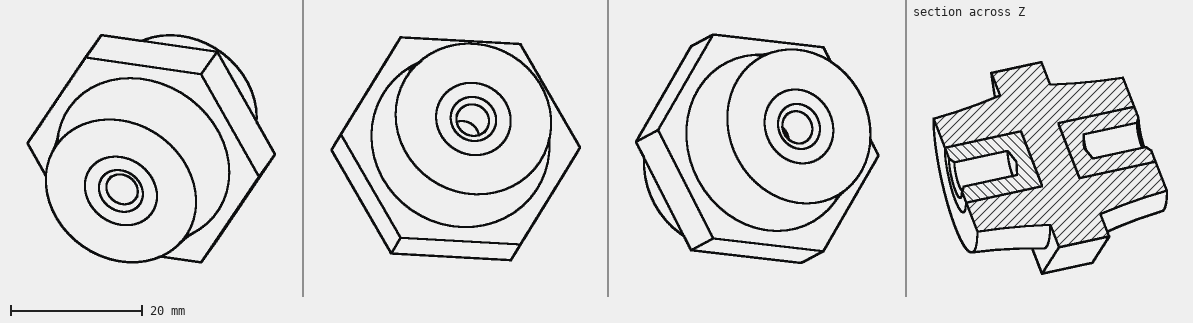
import cadquery as cq
import math


HEX_ACROSS_CORNERS = 36.95
COLLAR_WIDTH = 7.98
TOTAL_LENGTH = 30.0
BOSS_END_RADIUS = 12.0
BOSS_ROOT_RADIUS = 13.75
BOSS_HOLLOW = 0.22

INSERT_RADIUS = 5.75
INSERT_LENGTH = 12.0
BORE_RADIUS = 2.5
BORE_DEPTH = 8.98
MOUTH_RADIUS = 3.5
MOUTH_ANGLE = 120.0
DRILL_TIP_ANGLE = 150.0

HALF_LENGTH = TOTAL_LENGTH / 2
HALF_COLLAR = COLLAR_WIDTH / 2
END_SIDES = (-1, 1)


def revolve_about_y(profile):
    """Close a half profile drawn in XY and turn it about the Y axis."""
    return profile.close().revolve(360, (0, 0, 0), (0, 1, 0))


def make_collar():
    """Hexagon with two corners on the X axis, centred on the origin."""
    return (
        cq.Workplane("XZ")
        .polygon(6, HEX_ACROSS_CORNERS)
        .extrude(HALF_COLLAR, both=True)
    )


def make_boss(side):
    """Boss that flares along a hollow arc from the end face to the collar."""
    root_y = side * HALF_COLLAR
    end_y = side * HALF_LENGTH
    flank_length = math.hypot(HALF_LENGTH - HALF_COLLAR, BOSS_ROOT_RADIUS - BOSS_END_RADIUS)
    hollow_x = BOSS_HOLLOW * (HALF_LENGTH - HALF_COLLAR) / flank_length
    hollow_y = BOSS_HOLLOW * (BOSS_ROOT_RADIUS - BOSS_END_RADIUS) / flank_length
    middle = (
        (BOSS_ROOT_RADIUS + BOSS_END_RADIUS) / 2 - hollow_x,
        (root_y + end_y) / 2 - side * hollow_y,
    )
    return revolve_about_y(
        cq.Workplane("XY")
        .lineTo(0, end_y)
        .lineTo(BOSS_END_RADIUS, end_y)
        .threePointArc(middle, (BOSS_ROOT_RADIUS, root_y))
        .lineTo(BOSS_ROOT_RADIUS, 0)
    )


def make_insert_envelope(side):
    """Plain cylinder filled by an insert, flush with the end face."""
    end_y = side * HALF_LENGTH
    inner_y = side * (HALF_LENGTH - INSERT_LENGTH)
    return revolve_about_y(
        cq.Workplane("XY")
        .moveTo(0, inner_y)
        .lineTo(INSERT_RADIUS, inner_y)
        .lineTo(INSERT_RADIUS, end_y)
        .lineTo(0, end_y)
    )


def make_bore(side):
    """Countersunk blind bore with a conical drill tip."""
    tip_length = BORE_RADIUS / math.tan(math.radians(DRILL_TIP_ANGLE / 2))
    mouth_depth = (MOUTH_RADIUS - BORE_RADIUS) / math.tan(math.radians(MOUTH_ANGLE / 2))
    end_y = side * HALF_LENGTH
    mouth_y = side * (HALF_LENGTH - mouth_depth)
    floor_y = side * (HALF_LENGTH - BORE_DEPTH)
    tip_y = side * (HALF_LENGTH - BORE_DEPTH - tip_length)
    return revolve_about_y(
        cq.Workplane("XY")
        .moveTo(0, end_y)
        .lineTo(MOUTH_RADIUS, end_y)
        .lineTo(BORE_RADIUS, mouth_y)
        .lineTo(BORE_RADIUS, floor_y)
        .lineTo(0, tip_y)
    )


def make_housing():
    """Collar and both bosses in one piece, with a recess for each insert."""
    housing = make_collar()
    for side in END_SIDES:
        housing = housing.union(make_boss(side))
    for side in END_SIDES:
        housing = housing.cut(make_insert_envelope(side))
    return housing


def make_insert(side):
    """Cylindrical insert with its blind bore open at the end face."""
    return make_insert_envelope(side).cut(make_bore(side))


housing = make_housing()
inserts = [make_insert(side).val() for side in END_SIDES]

result = cq.Compound.makeCompound([housing.val(), *inserts])